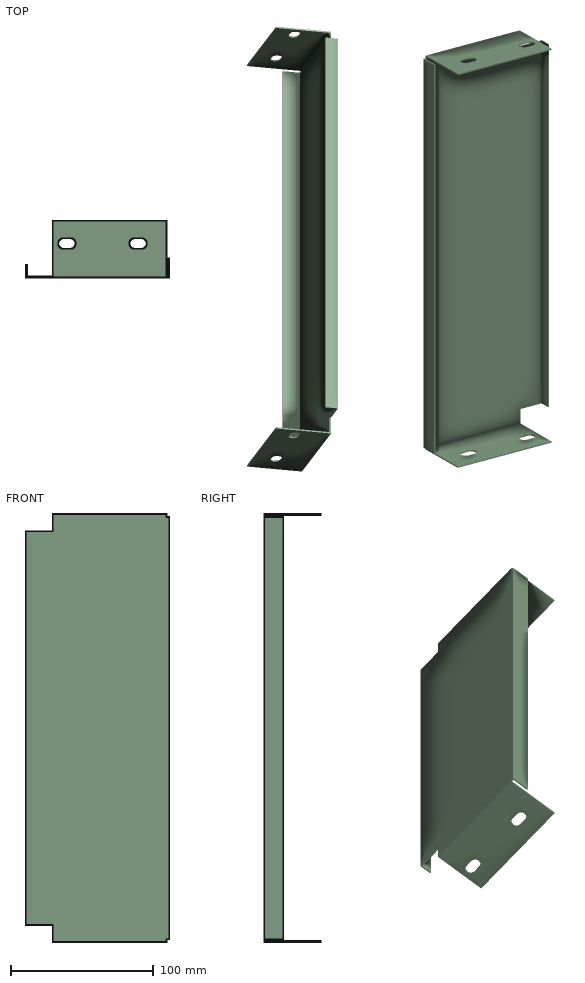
import cadquery as cq

width = 101.0
depth = 39.92
height = 301.0
thickness = 1.0

left_notch_width = 19.0
left_notch_height = 12.0
right_relief_width = 2.0
right_relief_height = 2.0

left_flange_depth = 9.0
right_flange_depth = 13.5

slot_length = 12.1
slot_width = 7.3
slot_spacing = 50.0
first_slot_inset = 10.0
slot_setback = 16.0

end_flange_width = width - left_notch_width - right_relief_width
first_slot_x = left_notch_width + first_slot_inset
slot_y = depth - slot_setback
left_flange_height = height - 2 * left_notch_height
right_flange_height = height - 2 * right_relief_height


def block(x, y, z, size_x, size_y, size_z):
    """Box with its lowest corner at (x, y, z)."""
    return cq.Workplane("XY").box(size_x, size_y, size_z, centered=False).translate((x, y, z))


def front_plate():
    """Upright plate, narrowed at both ends by the corner notches."""
    middle = block(0, 0, left_notch_height, width, thickness, left_flange_height)
    tall = block(left_notch_width, 0, 0, end_flange_width, thickness, height)
    right_edge = block(
        width - right_relief_width, 0, right_relief_height,
        right_relief_width, thickness, right_flange_height,
    )
    return middle.union(tall).union(right_edge)


def side_flanges():
    left = block(0, 0, left_notch_height, thickness, left_flange_depth, left_flange_height)
    right = block(
        width - thickness, 0, right_relief_height,
        thickness, right_flange_depth, right_flange_height,
    )
    return left, right


def end_flange(z):
    """Horizontal flange with two slots, its underside at height z."""
    flange = block(left_notch_width, 0, z, end_flange_width, depth, thickness)
    slots = (
        cq.Workplane("XY", origin=(0, 0, z))
        .pushPoints([(first_slot_x, slot_y), (first_slot_x + slot_spacing, slot_y)])
        .slot2D(slot_length, slot_width)
        .extrude(thickness)
    )
    return flange.cut(slots)


result = front_plate()
for flange in (*side_flanges(), end_flange(0), end_flange(height - thickness)):
    result = result.union(flange)